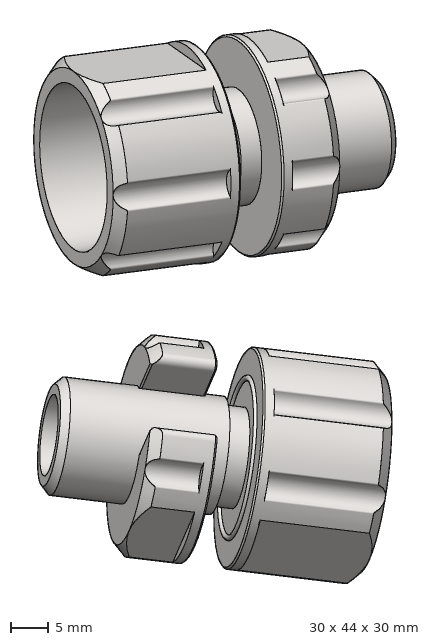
import cadquery as cq
import math


FLANGE_RADIUS = 15.0
FLANGE_THICKNESS = 1.5
RIM_CHAMFER = 0.25
END_CHAMFER = 1.5
FLAT_DISTANCE = FLANGE_RADIUS - END_CHAMFER
FLUTE_RADIUS = 2.0
FLUTE_DEPTH = 1.5
FLUTE_EDGE_RADIUS = 0.25
FLUTE_ANGLES = (0, 45, 135, 180, 225, 315)

NUT_LENGTH = 18.0
BEAD_OUTER_RADIUS = 11.2
BEAD_SECTION_RADIUS = 0.4
NECK_RADIUS = 6.85
NECK_END = 21.0
TUBE_RADIUS = 8.0
TUBE_END = 44.0
TUBE_CHAMFER = 1.1
SOCKET_RADIUS = 11.45
SOCKET_DEPTH = 13.75
FUNNEL_END = 16.5
BORE_RADIUS = 5.5

CLIP_START = 24.0
CLIP_LENGTH = 9.0
CLIP_END = CLIP_START + CLIP_LENGTH
CLIP_MIDDLE = CLIP_START + CLIP_LENGTH / 2
SLOT_WIDTH = 10.0
SLOT_OUTER_RADIUS = 1.0
SLOT_INNER_RADIUS = 1.0


def revolve_about_axis(points):
    """Solid of revolution about Y from (Y, radius) points."""
    return cq.Workplane("YZ").polyline(points).close().revolve(360, (0, 0, 0), (1, 0, 0))


def cylinder_along_axis(radius, start, end):
    return cq.Workplane("XZ", origin=(0, start, 0)).circle(radius).extrude(start - end)


def make_grip(length):
    """Solid grip with its chamfered free end at Y = 0 and its flange ending at Y = length."""
    grip_end = length - FLANGE_THICKNESS
    grip = revolve_about_axis(
        [
            (0, 0),
            (0, FLANGE_RADIUS - END_CHAMFER),
            (END_CHAMFER, FLANGE_RADIUS),
            (length, FLANGE_RADIUS),
            (length, 0),
        ]
    )

    block_height = FLANGE_RADIUS - FLAT_DISTANCE
    for side in (1, -1):
        flat = cq.Workplane("XY").box(2 * FLANGE_RADIUS, grip_end, block_height)
        grip = grip.cut(flat.translate((0, grip_end / 2, side * (FLAT_DISTANCE + block_height / 2))))

    for angle in FLUTE_ANGLES:
        grip = grip.cut(make_flute(grip_end).rotate((0, 0, 0), (0, 1, 0), angle))
    return grip


def make_flute(length):
    """Cutter for one round-bottomed flute at +X whose mouth is rounded over onto the grip surface."""
    flute_center = FLANGE_RADIUS - FLUTE_DEPTH + FLUTE_RADIUS
    to_grip_axis = FLANGE_RADIUS - FLUTE_EDGE_RADIUS
    to_flute_axis = FLUTE_RADIUS + FLUTE_EDGE_RADIUS
    round_x = (to_grip_axis**2 - to_flute_axis**2 + flute_center**2) / (2 * flute_center)
    round_z = math.sqrt(to_grip_axis**2 - round_x**2)
    grip_scale = FLANGE_RADIUS / to_grip_axis
    grip_x = round_x * grip_scale
    grip_z = round_z * grip_scale
    flute_scale = FLUTE_RADIUS / to_flute_axis
    flute_x = flute_center + (round_x - flute_center) * flute_scale
    flute_z = round_z * flute_scale
    chord_x = (grip_x + flute_x) / 2 - round_x
    chord_z = (grip_z + flute_z) / 2 - round_z
    chord_scale = FLUTE_EDGE_RADIUS / math.hypot(chord_x, chord_z)
    middle_x = round_x + chord_x * chord_scale
    middle_z = round_z + chord_z * chord_scale
    outside_x = FLANGE_RADIUS + FLUTE_DEPTH
    return (
        cq.Workplane("XZ")
        .moveTo(outside_x, grip_z)
        .lineTo(grip_x, grip_z)
        .threePointArc((middle_x, middle_z), (flute_x, flute_z))
        .threePointArc((FLANGE_RADIUS - FLUTE_DEPTH, 0), (flute_x, -flute_z))
        .threePointArc((middle_x, -middle_z), (grip_x, -grip_z))
        .lineTo(outside_x, -grip_z)
        .close()
        .extrude(-length)
    )


def make_nut():
    nut = make_grip(NUT_LENGTH).faces(">Y").edges().chamfer(RIM_CHAMFER)

    stem = revolve_about_axis(
        [
            (NUT_LENGTH - FLANGE_THICKNESS, 0),
            (NUT_LENGTH - FLANGE_THICKNESS, NECK_RADIUS),
            (NECK_END, NECK_RADIUS),
            (NECK_END, TUBE_RADIUS),
            (TUBE_END - TUBE_CHAMFER, TUBE_RADIUS),
            (TUBE_END, TUBE_RADIUS - TUBE_CHAMFER),
            (TUBE_END, 0),
        ]
    )

    bead_center = BEAD_OUTER_RADIUS - BEAD_SECTION_RADIUS
    bead = (
        cq.Workplane("YZ", origin=(0, NUT_LENGTH, bead_center))
        .circle(BEAD_SECTION_RADIUS)
        .revolve(360, (0, -bead_center, 0), (1, -bead_center, 0))
    )

    passage = revolve_about_axis(
        [
            (0, 0),
            (0, SOCKET_RADIUS),
            (SOCKET_DEPTH, SOCKET_RADIUS),
            (FUNNEL_END, BORE_RADIUS),
            (TUBE_END, BORE_RADIUS),
            (TUBE_END, 0),
        ]
    )
    return nut.union(stem).union(bead).cut(passage)


def make_open_ring():
    """Plain ring that fits the tube, with the slot towards -X and its outer edges rounded."""
    ring = cylinder_along_axis(FLANGE_RADIUS, CLIP_START, CLIP_END)
    bore = cylinder_along_axis(TUBE_RADIUS, CLIP_START, CLIP_END)
    slot = cq.Workplane("XY").box(FLANGE_RADIUS, CLIP_LENGTH, SLOT_WIDTH)
    slot = slot.translate((-FLANGE_RADIUS / 2, CLIP_MIDDLE, 0))
    ring = ring.cut(bore).cut(slot)
    return round_slot_edges(ring, FLANGE_RADIUS, SLOT_OUTER_RADIUS)


def round_slot_edges(ring, ring_radius, edge_radius):
    """Round the two edges along Y where the slot meets a cylinder of the given radius."""
    half_slot = SLOT_WIDTH / 2
    edge_x = -math.sqrt(ring_radius**2 - half_slot**2)
    for edge_z in (half_slot, -half_slot):
        edge_middle = (edge_x, CLIP_MIDDLE, edge_z)
        ring = ring.edges(cq.selectors.NearestToPointSelector(edge_middle)).fillet(edge_radius)
    return ring


def make_clip():
    clip = make_grip(CLIP_LENGTH).rotate((0, 0, 0), (0, 0, 1), 180)
    clip = clip.translate((0, CLIP_END, 0))
    open_ring = make_open_ring()

    chamfered_rims = open_ring.edges("|X").chamfer(RIM_CHAMFER)
    rounded_tips = round_slot_edges(open_ring, TUBE_RADIUS, SLOT_INNER_RADIUS)
    return clip.intersect(chamfered_rims).intersect(rounded_tips)


nut = make_nut()
clip = make_clip()

result = cq.Compound.makeCompound([nut.val(), clip.val()])